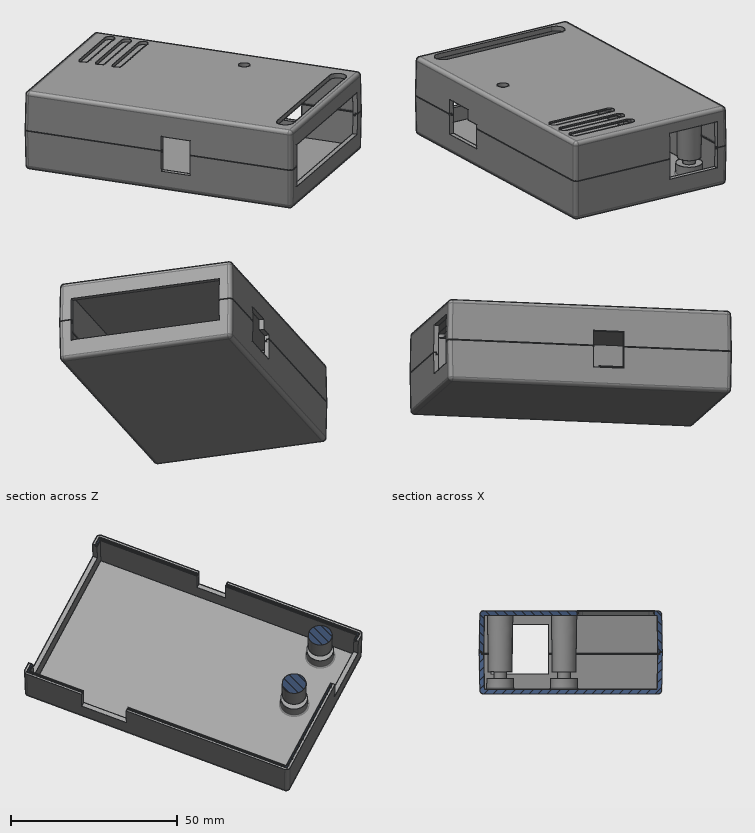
import cadquery as cq
import math

LENGTH = 87.0
WIDTH = 55.0
HEIGHT = 25.0
SHELL_HEIGHT = HEIGHT / 2
WALL = 1.5
DRAFT = 1.0
EDGE_RADIUS = 1.2
CAVITY_LENGTH = LENGTH - 2 * WALL
CAVITY_WIDTH = WIDTH - 2 * WALL
CAVITY_DEPTH = SHELL_HEIGHT - WALL
CUT_DEPTH = 3 * WALL

RIM_GAP = 0.2
STEP_DEPTH = 0.6
TONGUE_DEPTH = 0.35
TONGUE_INSET = 0.9
STEP_INSET = 0.8

SILL = -6.4
LEFT_PORT_START = -23.8
LEFT_PORT_END = -6.7
LEFT_PORT_TOP = 8.35
FRONT_PORT_START = 1.05
FRONT_PORT_END = 10.35
FRONT_PORT_TOP = 4.7
BACK_LOW_PORT_START = 9.7
BACK_LOW_PORT_TOP = 1.4
BACK_TALL_PORT_START = 14.35
BACK_PORT_END = 24.35
RIGHT_PORT_HALF_WIDTH = 23.5
RIGHT_PORT_TOP = 7.0

DISPLAY_X = 38.4
DISPLAY_LENGTH = 45.9
DISPLAY_WIDTH = 5.2
LED_X = 8.8
LED_Y = 18.5
LED_DIAMETER = 3.5
VENT_COUNT = 3
VENT_X = -36.9
VENT_PITCH = 5.4
VENT_Y = 13.5
VENT_LENGTH = 23.05
VENT_WIDTH = 3.05
VENT_STEP = 1.8
VENT_POCKET_DEPTH = 1.05

SUPPORT_X = -32.2
SUPPORT_YS = (-2.0, -21.1)
STANDOFF_BOTTOM_RADIUS = 4.1
STANDOFF_TOP_RADIUS = 4.0
STANDOFF_FOOT_RADIUS = 0.35
STANDOFF_TOP = -7.7
PIN_RADIUS = 1.9
POST_ROOT_RADIUS = 3.8
POST_TIP_RADIUS = 3.6
POST_TIP = -5.8


def tapered_block(length, width, height):
    """Block rising from z = 0 whose sides lean inward by the draft angle."""
    return cq.Workplane("XY").rect(length, width).extrude(height, taper=DRAFT)


def shell():
    """Open tray with its rim at z = 0 and its closed face at the top."""
    outer = tapered_block(LENGTH, WIDTH, SHELL_HEIGHT).edges("not <Z").fillet(EDGE_RADIUS)
    return outer.cut(tapered_block(CAVITY_LENGTH, CAVITY_WIDTH, CAVITY_DEPTH))


def rim_ring(outer_inset, inner_inset, bottom, top):
    """Rectangular ring along the rim, between two insets from the outer faces."""
    return (
        cq.Workplane("XY", origin=(0, 0, bottom))
        .rect(LENGTH - 2 * outer_inset, WIDTH - 2 * outer_inset)
        .rect(LENGTH - 2 * inner_inset, WIDTH - 2 * inner_inset)
        .extrude(top - bottom)
    )


def box_between(low, high):
    """Box spanning two opposite corners."""
    size = [b - a for a, b in zip(low, high)]
    return cq.Workplane("XY").box(*size, centered=False).translate(low)


def wall_ports():
    """Cutters for the openings in the four side walls."""
    x_wall = LENGTH / 2
    y_wall = WIDTH / 2
    left = box_between(
        (-x_wall - CUT_DEPTH, LEFT_PORT_START, SILL),
        (-x_wall + CUT_DEPTH, LEFT_PORT_END, LEFT_PORT_TOP),
    )
    right = box_between(
        (x_wall - CUT_DEPTH, -RIGHT_PORT_HALF_WIDTH, SILL),
        (x_wall + CUT_DEPTH, RIGHT_PORT_HALF_WIDTH, RIGHT_PORT_TOP),
    )
    front = box_between(
        (FRONT_PORT_START, -y_wall - CUT_DEPTH, SILL),
        (FRONT_PORT_END, -y_wall + CUT_DEPTH, FRONT_PORT_TOP),
    )
    back_low = box_between(
        (BACK_LOW_PORT_START, y_wall - CUT_DEPTH, SILL),
        (BACK_PORT_END, y_wall + CUT_DEPTH, BACK_LOW_PORT_TOP),
    )
    back_tall = box_between(
        (BACK_TALL_PORT_START, y_wall - CUT_DEPTH, SILL),
        (BACK_PORT_END, y_wall + CUT_DEPTH, FRONT_PORT_TOP),
    )
    return [left, right, front, back_low, back_tall]


def roof_slot(x, y, length, width, bottom, top):
    """Cutter for a round-ended slot running along Y."""
    return (
        cq.Workplane("XY", origin=(x, y, bottom))
        .slot2D(length, width, 90)
        .extrude(top - bottom)
    )


def stepped_vent(x):
    """Cutter for a vent made of an outer pocket and a sideways shifted inner pocket."""
    outer_floor = SHELL_HEIGHT - VENT_POCKET_DEPTH
    inner_top = CAVITY_DEPTH + VENT_POCKET_DEPTH
    outer = roof_slot(x, VENT_Y, VENT_LENGTH, VENT_WIDTH, outer_floor, SHELL_HEIGHT)
    inner = roof_slot(x + VENT_STEP, VENT_Y, VENT_LENGTH, VENT_WIDTH, CAVITY_DEPTH, inner_top)
    return outer.union(inner)


def tapered_bar(y, start, start_radius, end, end_radius):
    """Upright tapered round bar at a board support, from one height to another."""
    draft = math.degrees(math.atan2(start_radius - end_radius, abs(end - start)))
    return (
        cq.Workplane("XY", origin=(SUPPORT_X, y, start))
        .circle(start_radius)
        .extrude(end - start, taper=draft)
    )


def make_base(ports):
    """Lower shell with the stepped rim, the wall openings and the board standoffs."""
    base = shell().mirror("XY").cut(rim_ring(STEP_INSET, 2 * WALL, -STEP_DEPTH, 0))
    for port in ports:
        base = base.cut(port)
    for y in SUPPORT_YS:
        standoff = tapered_bar(
            y, -CAVITY_DEPTH, STANDOFF_BOTTOM_RADIUS, STANDOFF_TOP, STANDOFF_TOP_RADIUS
        )
        base = base.union(standoff)
        foot = cq.selectors.NearestToPointSelector((SUPPORT_X, y, -CAVITY_DEPTH))
        base = base.edges(foot).fillet(STANDOFF_FOOT_RADIUS)
        base = base.union(tapered_bar(y, STANDOFF_TOP, PIN_RADIUS, POST_TIP, PIN_RADIUS))
    return base


def make_lid(ports):
    """Upper shell with the tongue, the wall and roof openings and the board posts."""
    lid = shell().cut(rim_ring(0, TONGUE_INSET, 0, RIM_GAP))
    lid = lid.union(rim_ring(TONGUE_INSET, WALL, -TONGUE_DEPTH, 0))
    for port in ports:
        lid = lid.cut(port)
    display_slot = roof_slot(
        DISPLAY_X, 0, DISPLAY_LENGTH, DISPLAY_WIDTH, CAVITY_DEPTH, SHELL_HEIGHT
    )
    lid = lid.cut(display_slot)
    led_start = cq.Workplane("XY", origin=(LED_X, LED_Y, CAVITY_DEPTH))
    lid = lid.cut(led_start.circle(LED_DIAMETER / 2).extrude(WALL))
    for i in range(VENT_COUNT):
        lid = lid.cut(stepped_vent(VENT_X + i * VENT_PITCH))
    for y in SUPPORT_YS:
        lid = lid.union(tapered_bar(y, CAVITY_DEPTH, POST_ROOT_RADIUS, POST_TIP, POST_TIP_RADIUS))
    return lid


wall_cutters = wall_ports()
base = make_base(wall_cutters)
lid = make_lid(wall_cutters)
result = cq.Compound.makeCompound([*base.solids().vals(), *lid.solids().vals()])